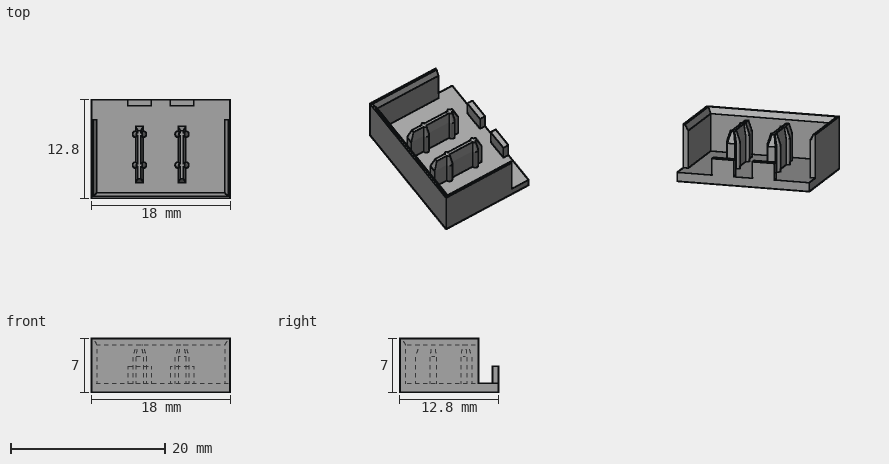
import cadquery as cq

LENGTH = 18
DEPTH = 12.8
HEIGHT = 7.0
FRONT_Y = -DEPTH / 2
BACK_Y = DEPTH / 2

FLOOR_THICKNESS = 1.2
WALL_THICKNESS = 0.7
WALL_SETBACK = 2.6
RIM_WIDTH = 0.25
RIM_BEVEL_HEIGHT = 0.8

STATION_PITCH = 5.5
STATION_X = (-STATION_PITCH / 2, STATION_PITCH / 2)

TAB_LENGTH = 3.0
TAB_THICKNESS = 0.8
TAB_TOP_Z = 3.4

BLADE_THICKNESS = 1.0
BLADE_LENGTH = 7.3
BLADE_SETBACK = 3.5
BLADE_TOP_Z = 6.2
BLADE_TIP_THICKNESS = 0.4
BLADE_END_BEVEL = 0.54
BLADE_BEVEL_HEIGHT = 1.5
BLADE_CENTER_Y = BACK_Y - BLADE_SETBACK - BLADE_LENGTH / 2
BLADE_SHOULDER_Z = BLADE_TOP_Z - BLADE_BEVEL_HEIGHT

PILLAR_RADIUS = 0.4
PILLAR_TIP_RADIUS = 0.2
PILLAR_PITCH = 4.0
PILLAR_SETBACK = 4.5
REAR_PILLAR_Y = BACK_Y - PILLAR_SETBACK
PILLAR_Y = (REAR_PILLAR_Y, REAR_PILLAR_Y - PILLAR_PITCH)


def box(x_size, y_size, z_size, x_center, y_min, z_min):
    """Box centred on x_center, starting at y_min and z_min."""
    block = cq.Workplane("XY").box(x_size, y_size, z_size, centered=(True, False, False))
    return block.translate((x_center, y_min, z_min))


def make_rim_bevel():
    """Flared cutter that thins the inner top edges of the wall to a narrow rim."""
    mid_y = DEPTH / 2
    bottom_length = LENGTH - 2 * WALL_THICKNESS
    bottom_depth = 2 * DEPTH - 2 * WALL_THICKNESS
    flare = 2 * (WALL_THICKNESS - RIM_WIDTH)
    return (
        cq.Workplane("XY", origin=(0, mid_y, HEIGHT - RIM_BEVEL_HEIGHT))
        .rect(bottom_length, bottom_depth)
        .workplane(offset=RIM_BEVEL_HEIGHT)
        .rect(bottom_length + flare, bottom_depth + flare)
        .loft(ruled=True)
    )


def make_wall():
    """Wall along the front and both sides, open at the back."""
    wall_depth = DEPTH - WALL_SETBACK
    wall_height = HEIGHT - FLOOR_THICKNESS
    outer = box(LENGTH, wall_depth, wall_height, 0, FRONT_Y, FLOOR_THICKNESS)
    inside_length = LENGTH - 2 * WALL_THICKNESS
    inside = box(inside_length, wall_depth, wall_height, 0, FRONT_Y + WALL_THICKNESS, FLOOR_THICKNESS)
    return outer.cut(inside).cut(make_rim_bevel())


def make_housing():
    """One-piece housing: floor plate, wall and the upright tabs along the back edge."""
    housing = box(LENGTH, DEPTH, FLOOR_THICKNESS, 0, FRONT_Y, 0).union(make_wall())
    for x in STATION_X:
        housing = housing.union(box(TAB_LENGTH, TAB_THICKNESS, TAB_TOP_Z, x, BACK_Y - TAB_THICKNESS, 0))
    return housing


def make_pillar(y):
    """Round pillar on the -X face of a blade at X = 0, its tip leaning in with the blade's bevel."""
    foot_x = -BLADE_THICKNESS / 2
    lean = (BLADE_THICKNESS - BLADE_TIP_THICKNESS) / 2
    shaft = (
        cq.Workplane("XY", origin=(foot_x, y, FLOOR_THICKNESS))
        .circle(PILLAR_RADIUS)
        .extrude(BLADE_SHOULDER_Z - FLOOR_THICKNESS)
    )
    tip = (
        cq.Workplane("XY", origin=(foot_x, y, BLADE_SHOULDER_Z))
        .circle(PILLAR_RADIUS)
        .workplane(offset=BLADE_BEVEL_HEIGHT)
        .center(lean, 0)
        .circle(PILLAR_TIP_RADIUS)
        .loft(ruled=True)
    )
    return shaft.union(tip)


def make_blade(x):
    """Separate upright blade on the floor, with a tapered top and two pillars on each face."""
    shank = (
        cq.Workplane("XY", origin=(0, BLADE_CENTER_Y, FLOOR_THICKNESS))
        .rect(BLADE_THICKNESS, BLADE_LENGTH)
        .extrude(BLADE_SHOULDER_Z - FLOOR_THICKNESS)
    )
    top = (
        cq.Workplane("XY", origin=(0, BLADE_CENTER_Y, BLADE_SHOULDER_Z))
        .rect(BLADE_THICKNESS, BLADE_LENGTH)
        .workplane(offset=BLADE_BEVEL_HEIGHT)
        .rect(BLADE_TIP_THICKNESS, BLADE_LENGTH - 2 * BLADE_END_BEVEL)
        .loft(ruled=True)
    )
    blade = shank.union(top)
    for y in PILLAR_Y:
        pillar = make_pillar(y)
        blade = blade.union(pillar).union(pillar.mirror("YZ"))
    return blade.translate((x, 0, 0))


housing = make_housing()
blades = [make_blade(x) for x in STATION_X]

result = cq.Compound.makeCompound([housing.val(), *[blade.val() for blade in blades]])